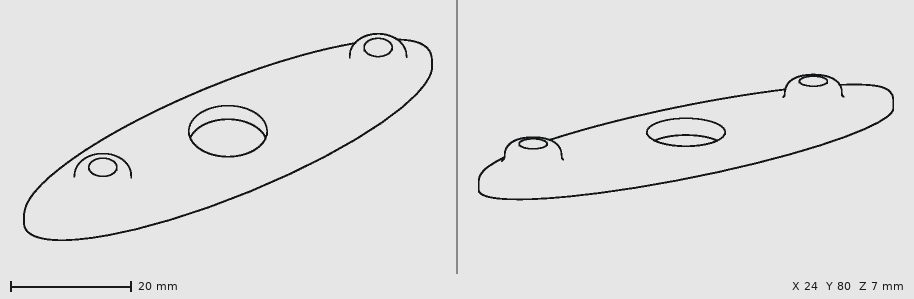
import cadquery as cq

plate_length = 80.0
plate_width = 24.0
plate_thickness = 3.0
plate_edge_radius = plate_thickness / 2
center_hole_diameter = 13.0

boss_y_positions = (30.0, -25.0)
boss_diameter = 9.46
boss_top_z = 7.0
boss_hole_diameter = 4.66
boss_blend_radius = 1.92


def make_plate():
    """Elliptical plate with its upper rim rounded."""
    plate = cq.Workplane("XY").ellipse(plate_width / 2, plate_length / 2).extrude(plate_thickness)
    return plate.faces(">Z").edges().fillet(plate_edge_radius)


def vertical_cylinder(y, diameter):
    """Cylinder on the long axis, from the plate's underside to the boss tops."""
    return cq.Workplane("XY").center(0, y).circle(diameter / 2).extrude(boss_top_z)


def add_boss(plate, y):
    """Fuse a round boss at the given Y and blend its root into the plate."""
    body = plate.union(vertical_cylinder(y, boss_diameter))
    box_reach = boss_diameter
    box_half_height = plate_thickness / 4
    root_box = cq.selectors.BoxSelector(
        (-box_reach, y - box_reach, plate_thickness - box_half_height),
        (box_reach, y + box_reach, plate_thickness + box_half_height),
    )
    return body.edges("%CIRCLE").edges(root_box).fillet(boss_blend_radius)


def round_boss_tops(body):
    """Round the outer top edge of every boss."""
    return body.faces(">Z").edges().fillet(boss_blend_radius)


result = make_plate()
for boss_y in boss_y_positions:
    result = add_boss(result, boss_y)
result = round_boss_tops(result)

for boss_y in boss_y_positions:
    result = result.cut(vertical_cylinder(boss_y, boss_hole_diameter))
result = result.cut(vertical_cylinder(0, center_hole_diameter))